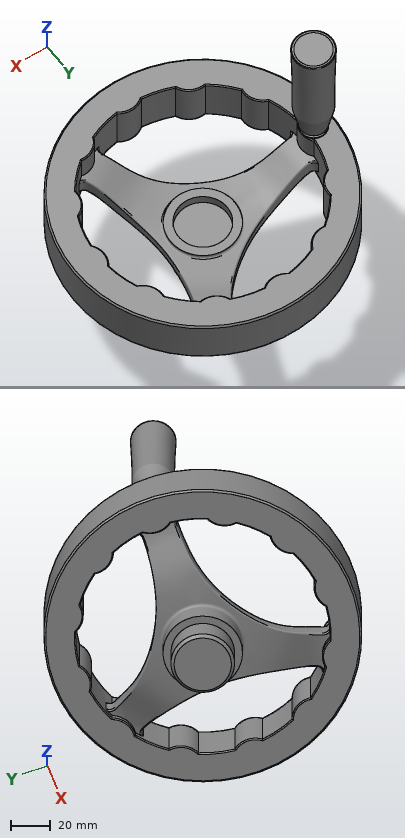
import cadquery as cq
import math


RIM_RADIUS = 80.0
RIM_INNER_RADIUS = 64.0
RIM_BOTTOM = 36.0
RIM_TOP = 64.0
RIM_OUTER_CHAMFER = 1.0
RIM_INNER_CHAMFER = 0.6

BUMP_COUNT = 12
BUMP_RADIUS = 12.2
BUMP_TIP_RADIUS = 61.0
BUMP_ROOT = 1.6

STUB_RADIUS = 16.0
STUB_CHAMFER = 1.6
HUB_RADIUS = 20.0
HUB_BOTTOM = 15.0
HUB_TOP = 36.5
HUB_FILLET_BELOW = 1.6
HUB_FILLET_ABOVE = 1.0
RECESS_RADIUS = 15.0
RECESS_DEPTH = 5.6

PLATE_ROOT = 3.2
PLATE_MIDDLE_RADIUS = 46.7
UNDERSIDE_HUB_Z = 28.0
UNDERSIDE_MIDDLE_Z = 33.1
UNDERSIDE_RIM_Z = 40.0
UPPERSIDE_HUB_Z = 34.4
UPPERSIDE_MIDDLE_Z = 42.0
UPPERSIDE_RIM_Z = 49.3

SPOKE_COUNT = 3
WINDOW_NEAR_RADIUS = 24.8
WINDOW_FAR_RADIUS = RIM_INNER_RADIUS + 0.3
WINDOW_ARC_RADIUS = 91.2
WINDOW_CORNER_RADIUS = 3.5
SPOKE_EDGE_FILLET = 0.8

HANDLE_X = -68.5

GRIP_BOTTOM = 66.7
GRIP_WAIST = 82.4
GRIP_TOP = 136.5
GRIP_BOTTOM_RADIUS = 7.7
GRIP_WAIST_RADIUS = 10.7
GRIP_MIDDLE_RADIUS = 10.9
GRIP_TOP_RADIUS = 11.5
GRIP_TOP_FILLET = 0.5

CAP_RADIUS = 10.0
CAP_THICKNESS = 3.2

SPINDLE_RADIUS = 5.8
SPINDLE_ENGAGEMENT = 16.0
COLLAR_RADIUS = 7.7
COLLAR_HEIGHT = 0.8


def cylinder(radius, bottom, top):
    return cq.Workplane("XY").workplane(offset=bottom).circle(radius).extrude(top - bottom)


def inner_edges(faces):
    """Edges of all the openings in the given faces."""
    edges = []
    for face in faces.vals():
        for outline in face.innerWires():
            edges.extend(outline.Edges())
    return edges


def at_handle(body):
    return body.translate((HANDLE_X, 0, 0))


def make_rim():
    """Ring and finger bumps, each chamfered at both ends before they are joined."""
    rim = cylinder(RIM_RADIUS, RIM_BOTTOM, RIM_TOP).edges().chamfer(RIM_OUTER_CHAMFER)
    rim = rim.cut(cylinder(RIM_INNER_RADIUS, RIM_BOTTOM, RIM_TOP))
    rim = rim.newObject(inner_edges(rim.faces("+Z or -Z"))).chamfer(RIM_INNER_CHAMFER)
    bump = cylinder(BUMP_RADIUS, RIM_BOTTOM, RIM_TOP).edges().chamfer(RIM_INNER_CHAMFER)
    bump = bump.translate((BUMP_TIP_RADIUS + BUMP_RADIUS, 0, 0))
    bump = bump.intersect(cylinder(RIM_INNER_RADIUS + BUMP_ROOT, RIM_BOTTOM, RIM_TOP))
    for i in range(BUMP_COUNT):
        rim = rim.union(bump.rotate((0, 0, 0), (0, 0, 1), i * 360 / BUMP_COUNT))
    return rim


def make_hub_and_plate():
    """Hub and dished plate in one turn, blended by quarter-round fillets.

    The plate lies between two S-curves, level at the hub and at the rim, and runs a little into the rim.
    The half turn at the end puts the seam on the middle of the -X spoke, clear of the windows.
    """
    root_radius = RIM_INNER_RADIUS + PLATE_ROOT
    outward = (1, 0)
    inward = (-1, 0)
    return (
        cq.Workplane("XZ")
        .moveTo(0, HUB_BOTTOM)
        .lineTo(HUB_RADIUS, HUB_BOTTOM)
        .lineTo(HUB_RADIUS, UNDERSIDE_HUB_Z - HUB_FILLET_BELOW)
        .tangentArcPoint((HUB_RADIUS + HUB_FILLET_BELOW, UNDERSIDE_HUB_Z), relative=False)
        .spline(
            [(PLATE_MIDDLE_RADIUS, UNDERSIDE_MIDDLE_Z), (root_radius, UNDERSIDE_RIM_Z)],
            tangents=[outward, outward],
            includeCurrent=True,
        )
        .lineTo(root_radius, UPPERSIDE_RIM_Z)
        .spline(
            [(PLATE_MIDDLE_RADIUS, UPPERSIDE_MIDDLE_Z), (HUB_RADIUS + HUB_FILLET_ABOVE, UPPERSIDE_HUB_Z)],
            tangents=[inward, inward],
            includeCurrent=True,
        )
        .tangentArcPoint((HUB_RADIUS, UPPERSIDE_HUB_Z + HUB_FILLET_ABOVE), relative=False)
        .lineTo(HUB_RADIUS, HUB_TOP)
        .lineTo(0, HUB_TOP)
        .close()
        .revolve(360, (0, 0, 0), (0, 1, 0))
        .rotate((0, 0, 0), (0, 0, 1), 180)
    )


def make_window():
    """Opening between two spokes, centred on the +X axis, bounded by a rim arc and a spoke arc.

    The rim arc lies just inside the rim, so that the wall of the rim stays whole.
    """
    arc_centre_x = WINDOW_NEAR_RADIUS + WINDOW_ARC_RADIUS
    corner_x = (arc_centre_x**2 + WINDOW_FAR_RADIUS**2 - WINDOW_ARC_RADIUS**2) / (2 * arc_centre_x)
    corner_y = math.sqrt(WINDOW_FAR_RADIUS**2 - corner_x**2)
    return (
        cq.Workplane("XY")
        .moveTo(corner_x, -corner_y)
        .threePointArc((WINDOW_FAR_RADIUS, 0), (corner_x, corner_y))
        .threePointArc((WINDOW_NEAR_RADIUS, 0), (corner_x, -corner_y))
        .close()
        .extrude(RIM_TOP)
        .edges("|Z")
        .fillet(WINDOW_CORNER_RADIUS)
    )


def make_spokes():
    """The hub and plate with the windows cut out and the window edges rounded."""
    spokes = make_hub_and_plate()
    window = make_window()
    for i in range(SPOKE_COUNT):
        spokes = spokes.cut(window.rotate((0, 0, 0), (0, 0, 1), i * 360 / SPOKE_COUNT))
    window_edges = inner_edges(spokes.faces("%REVOLUTION"))
    return spokes.newObject(window_edges).fillet(SPOKE_EDGE_FILLET)


def add_stub_and_recess(wheel):
    stub = cylinder(STUB_RADIUS, 0, HUB_BOTTOM).faces("<Z").chamfer(STUB_CHAMFER)
    recess = cylinder(RECESS_RADIUS, HUB_TOP - RECESS_DEPTH, HUB_TOP)
    return wheel.union(stub).cut(recess)


def make_spindle():
    pin = cylinder(SPINDLE_RADIUS, RIM_TOP - SPINDLE_ENGAGEMENT, GRIP_BOTTOM + SPINDLE_ENGAGEMENT)
    collar = cylinder(COLLAR_RADIUS, RIM_TOP, RIM_TOP + COLLAR_HEIGHT)
    return at_handle(pin.union(collar))


def make_cap():
    return at_handle(cylinder(CAP_RADIUS, GRIP_TOP - CAP_THICKNESS, GRIP_TOP))


def make_grip(spindle, cap):
    """Turned grip: a cone up to the waist, then a slightly hollow flare up to the end."""
    grip = (
        cq.Workplane("XZ")
        .moveTo(0, GRIP_BOTTOM)
        .lineTo(GRIP_BOTTOM_RADIUS, GRIP_BOTTOM)
        .lineTo(GRIP_WAIST_RADIUS, GRIP_WAIST)
        .threePointArc((GRIP_MIDDLE_RADIUS, (GRIP_WAIST + GRIP_TOP) / 2), (GRIP_TOP_RADIUS, GRIP_TOP))
        .lineTo(0, GRIP_TOP)
        .close()
        .revolve(360, (0, 0, 0), (0, 1, 0))
        .faces(">Z")
        .edges()
        .fillet(GRIP_TOP_FILLET)
    )
    return at_handle(grip).cut(spindle).cut(cap)


def make_wheel(spindle):
    return add_stub_and_recess(make_spokes()).union(make_rim()).cut(spindle)


spindle = make_spindle()
cap = make_cap()
grip = make_grip(spindle, cap)
wheel = make_wheel(spindle)
result = cq.Compound.makeCompound([wheel.val(), spindle.val(), grip.val(), cap.val()])